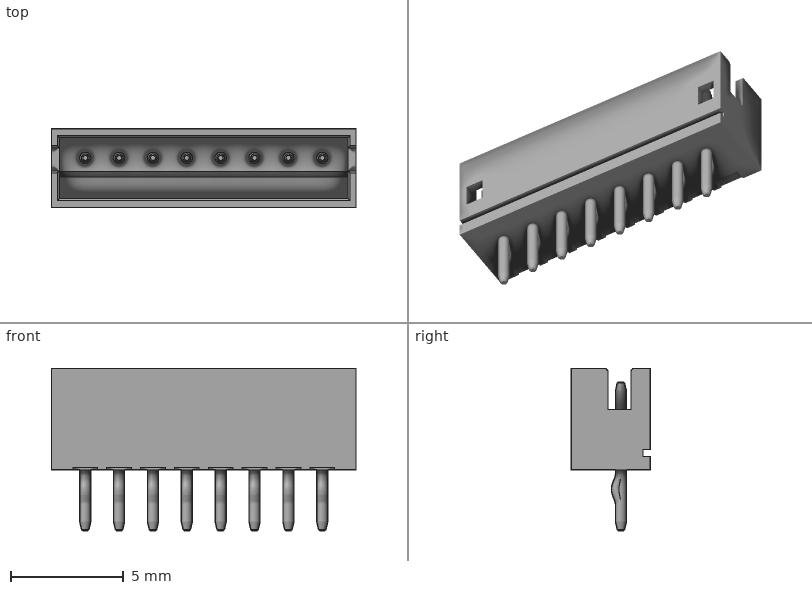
import cadquery as cq
import math


housing_length = 13.5
housing_width = 3.5
housing_height = 4.5
pin_to_back = 1.3
end_wall = 0.35
side_wall = 0.4
rim_chamfer = 0.09

back_face = pin_to_back
front_face = back_face - housing_width
cavity_length = housing_length - 2 * end_wall
cavity_back = back_face - side_wall
cavity_front = front_face + side_wall

floor_height = 1.72
step_drop = 0.25
step_edge = back_face - 1.9
step_run = step_drop

slot_back = back_face - 0.86
slot_front = back_face - 1.87
slot_floor = 2.68
slot_chamfer = 0.1

window_width = 0.82
window_top = 2.82

groove_bottom = 0.6
groove_height = 0.3
groove_depth = 0.32

recess_width = 1.1
recess_height = 0.1
recess_depth = 0.5

pin_count = 8
pin_pitch = 1.5
pin_radius = 0.25
pin_top = 3.9
pin_bottom = -2.7
taper_length = 0.4
taper_end_radius = 0.17
tip_chamfer = 0.06

kink_middle = -0.86
kink_half_length = 0.67
kink_angle = math.radians(21)
kink_bend_radius = 0.63
kink_crown_radius = 0.51
kink_radius = pin_radius - 0.0005

pin_positions = [(i - (pin_count - 1) / 2) * pin_pitch for i in range(pin_count)]


def block(x_range, y_range, z_range):
    """Box given by its lower and upper limits along each axis."""
    (x0, x1), (y0, y1), (z0, z1) = x_range, y_range, z_range
    return cq.Workplane("XY").box(x1 - x0, y1 - y0, z1 - z0, centered=False).translate((x0, y0, z0))


def extrude_along_x(points, length):
    """Prism of a closed (Y, Z) outline, centred on X = 0."""
    return cq.Workplane("YZ").polyline(points).close().extrude(length / 2, both=True)


def make_cavity():
    """Open space inside the walls, with its sloped floor step and flared rim."""
    low_floor = floor_height - step_drop
    cavity = extrude_along_x(
        [
            (cavity_back, housing_height),
            (cavity_back, floor_height),
            (step_edge, floor_height),
            (step_edge - step_run, low_floor),
            (cavity_front, low_floor),
            (cavity_front, housing_height),
        ],
        cavity_length,
    )
    flare = (
        cq.Workplane("XY", origin=(0, (cavity_front + cavity_back) / 2, housing_height))
        .rect(cavity_length + 2 * rim_chamfer, cavity_back - cavity_front + 2 * rim_chamfer)
        .extrude(-rim_chamfer, taper=45)
    )
    return cavity.union(flare)


def make_slots():
    """Slot across both end walls, with chamfered mouth."""
    mouth_start = housing_height - slot_chamfer
    return extrude_along_x(
        [
            (slot_front, slot_floor),
            (slot_back, slot_floor),
            (slot_back, mouth_start),
            (slot_back + slot_chamfer, housing_height),
            (slot_front - slot_chamfer, housing_height),
            (slot_front, mouth_start),
        ],
        housing_length,
    )


def make_window(side):
    """Opening through the back wall at the left (-1) or right (+1) end of the cavity."""
    outer = side * cavity_length / 2
    inner = outer - side * window_width
    return block(sorted((inner, outer)), (cavity_back, back_face), (floor_height, window_top))


def make_housing():
    half_length = housing_length / 2
    housing = block((-half_length, half_length), (front_face, back_face), (0, housing_height))
    housing = housing.cut(make_cavity()).cut(make_slots())
    for side in (-1, 1):
        housing = housing.cut(make_window(side))
    groove = block(
        (-half_length, half_length),
        (back_face - groove_depth, back_face),
        (groove_bottom, groove_bottom + groove_height),
    )
    housing = housing.cut(groove)
    for x in pin_positions:
        recess = block(
            (x - recess_width / 2, x + recess_width / 2),
            (front_face, front_face + recess_depth),
            (0, recess_height),
        )
        housing = housing.cut(recess)
    return housing


def make_kink():
    """Round wire that leaves the pin axis, runs over a crown and returns."""
    sine = math.sin(kink_angle)
    bend_height = kink_bend_radius * (1 - math.cos(kink_angle))
    bend_length = kink_bend_radius * sine
    crown_half_length = kink_crown_radius * sine
    slope_length = kink_half_length - bend_length - crown_half_length
    slope_end = bend_height + slope_length * math.tan(kink_angle)
    crown_height = slope_end + kink_crown_radius * (1 - math.cos(kink_angle))

    bend_middle_height = kink_bend_radius * (1 - math.cos(kink_angle / 2))
    bend_middle_length = kink_bend_radius * math.sin(kink_angle / 2)

    def at(offset, distance):
        """(Y, Z) point at a forward offset and a height relative to the kink middle."""
        return (-offset, kink_middle + distance)

    bend_end = kink_half_length - bend_length
    bend_middle = kink_half_length - bend_middle_length
    path = (
        cq.Workplane("YZ")
        .moveTo(*at(0, kink_half_length))
        .threePointArc(at(bend_middle_height, bend_middle), at(bend_height, bend_end))
        .lineTo(*at(slope_end, crown_half_length))
        .threePointArc(at(crown_height, 0), at(slope_end, -crown_half_length))
        .lineTo(*at(bend_height, -bend_end))
        .threePointArc(at(bend_middle_height, -bend_middle), at(0, -kink_half_length))
    )
    start = cq.Workplane("XY", origin=(0, 0, kink_middle + kink_half_length))
    return start.circle(kink_radius).sweep(path)


def make_pin():
    """Round pin with tapered, chamfered tips and the kink below the housing."""
    flat_radius = taper_end_radius - tip_chamfer
    shank = (
        cq.Workplane("XZ")
        .polyline(
            [
                (0, pin_bottom),
                (flat_radius, pin_bottom),
                (taper_end_radius, pin_bottom + tip_chamfer),
                (pin_radius, pin_bottom + taper_length),
                (pin_radius, pin_top - taper_length),
                (taper_end_radius, pin_top - tip_chamfer),
                (flat_radius, pin_top),
                (0, pin_top),
            ]
        )
        .close()
        .revolve(360, (0, 0, 0), (0, 1, 0))
    )
    return shank.union(make_kink())


result = make_housing()
pin = make_pin()
for x in pin_positions:
    result = result.union(pin.translate((x, 0, 0)))